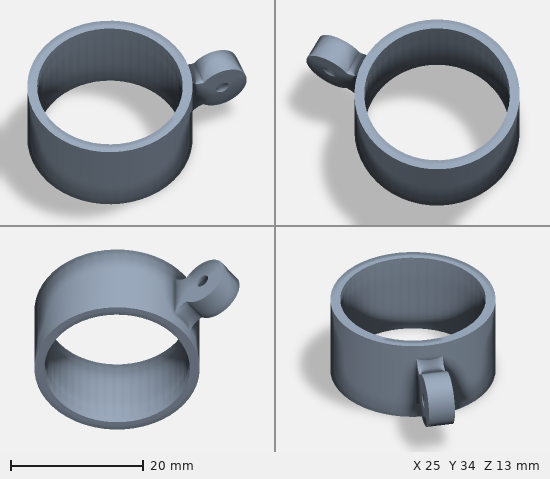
import cadquery as cq
import math

ring_diameter = 25.0
bore_diameter = 22.0
ring_height = 13.0

overall_length = 34.0
eye_radius = 4.0
eye_hole_diameter = 2.1
eye_thickness = 4.0
neck_half_height = 2.65
root_half_height = 4.1
neck_flare_radius = 2.38

ring_radius = ring_diameter / 2
bore_radius = bore_diameter / 2
eye_center_y = overall_length - ring_radius - eye_radius
neck_y = eye_center_y - math.sqrt(eye_radius**2 - neck_half_height**2)
root_y = math.sqrt(ring_radius**2 - (eye_thickness / 2) ** 2)
embed_y = (ring_radius + bore_radius) / 2


def make_ring():
    return (
        cq.Workplane("XY", origin=(0, 0, -ring_height / 2))
        .circle(ring_radius)
        .circle(bore_radius)
        .extrude(ring_height)
    )


def flare_middle():
    """Middle of the concave arc from the eye to the root, on the +Z side."""
    run = root_y - neck_y
    rise = root_half_height - neck_half_height
    chord = math.hypot(run, rise)
    sagitta = neck_flare_radius - math.sqrt(neck_flare_radius**2 - (chord / 2) ** 2)
    y = (neck_y + root_y) / 2 - sagitta * rise / chord
    z = (neck_half_height + root_half_height) / 2 + sagitta * run / chord
    return y, z


def make_eye():
    middle_y, middle_z = flare_middle()
    outline = (
        cq.Workplane("YZ", origin=(-eye_thickness / 2, 0, 0))
        .moveTo(embed_y, -root_half_height)
        .lineTo(root_y, -root_half_height)
        .threePointArc((middle_y, -middle_z), (neck_y, -neck_half_height))
        .threePointArc((eye_center_y + eye_radius, 0), (neck_y, neck_half_height))
        .threePointArc((middle_y, middle_z), (root_y, root_half_height))
        .lineTo(embed_y, root_half_height)
        .close()
    )
    eye = outline.extrude(eye_thickness)
    hole = (
        cq.Workplane("YZ", origin=(-eye_thickness / 2, 0, 0))
        .center(eye_center_y, 0)
        .circle(eye_hole_diameter / 2)
        .extrude(eye_thickness)
    )
    return eye.cut(hole)


result = make_ring().union(make_eye())